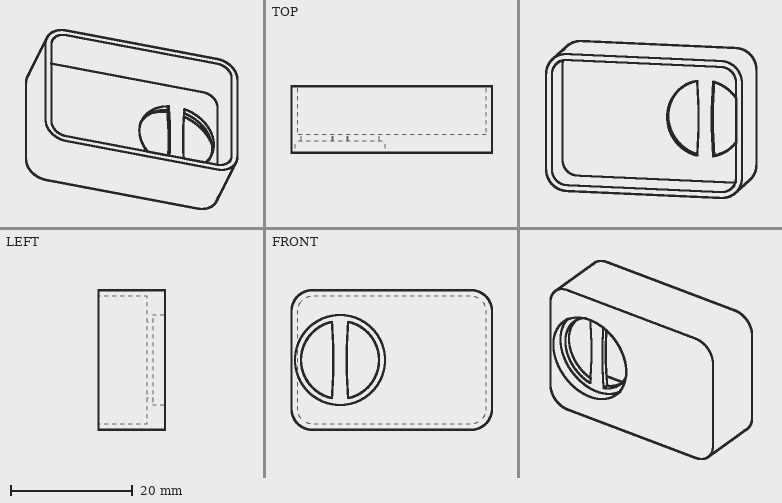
import cadquery as cq

LENGTH = 33.0
DEPTH = 11.0
HEIGHT = 23.0
CORNER_RADIUS = 3.5
WALL = 1.0

WINDOW_FROM_LEFT = 8.0
SEAT_DIAMETER = 14.8
SEAT_DEPTH = 2.0
LEDGE_WIDTH = 1.0
LEDGE_THICKNESS = 1.0

BAR_WAIST = 2.2
BAR_SIDE_RADIUS = 80.0

front_thickness = SEAT_DEPTH + LEDGE_THICKNESS
window_x = WINDOW_FROM_LEFT - LENGTH / 2
opening_diameter = SEAT_DIAMETER - 2 * LEDGE_WIDTH


def rounded_block(length, height, radius, y_start, y_end):
    """Block with its four edges along Y rounded, spanning y_start to y_end."""
    block = cq.Workplane("XY").box(length, y_end - y_start, height)
    return block.edges("|Y").fillet(radius).translate((0, (y_start + y_end) / 2, 0))


def cylinder_along_y(x, diameter, y_start, y_end):
    """Solid cylinder parallel to Y, centred on height zero."""
    plane = cq.Workplane("XZ", origin=(x, y_start, 0))
    return plane.circle(diameter / 2).extrude(y_start - y_end)


def window_opening(side):
    """Opening through the ledge on one side of the bar: -1 for left, +1 for right."""
    disc = cylinder_along_y(window_x, opening_diameter, SEAT_DEPTH, front_thickness)
    side_x = window_x + side * (BAR_WAIST / 2 + BAR_SIDE_RADIUS)
    bar_side = cylinder_along_y(side_x, 2 * BAR_SIDE_RADIUS, SEAT_DEPTH, front_thickness)
    return disc.intersect(bar_side)


body = rounded_block(LENGTH, HEIGHT, CORNER_RADIUS, 0, DEPTH)
cavity = rounded_block(
    LENGTH - 2 * WALL, HEIGHT - 2 * WALL, CORNER_RADIUS - WALL, front_thickness, DEPTH
)
seat = cylinder_along_y(window_x, SEAT_DIAMETER, 0, SEAT_DEPTH)

result = body.cut(cavity).cut(seat)
for side in (-1, 1):
    result = result.cut(window_opening(side))